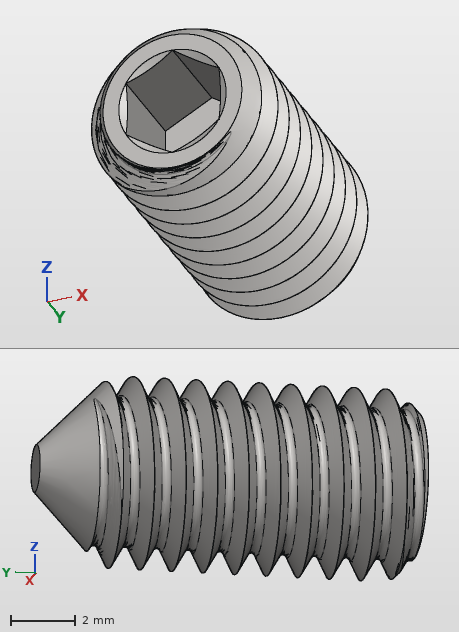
import cadquery as cq
import math

length = 12.0
thread_radius = 3.0

pitch = length / 12
crest_width = 0.01
root_fillet = 0.17
flank_angle = math.radians(30)
full_v_depth = (pitch - crest_width) / 2 / math.tan(flank_angle)
root_radius = thread_radius - full_v_depth + root_fillet / math.sin(flank_angle) - root_fillet
first_groove = 0.84
curve_steps = 12

point_radius = 0.75
socket_end_radius = 2.3
envelope_clearance = 0.12

socket_width = 3.08
socket_depth = 3.5
socket_corner_radius = socket_width / 2 / math.cos(math.radians(30))
mouth_angle = math.radians(30)
mouth_depth = socket_corner_radius * math.tan(mouth_angle)


def make_envelope():
    """Solid of revolution standing on Z: chamfered socket end below, cone point above."""
    radius = thread_radius + envelope_clearance
    return (
        cq.Workplane("XZ")
        .polyline([
            (0, 0),
            (socket_end_radius, 0),
            (radius, radius - socket_end_radius),
            (radius, length - (radius - point_radius)),
            (point_radius, length),
            (0, length),
        ])
        .close()
        .revolve(360, (0, 0), (0, 1))
    )


def make_threaded_rod():
    """Right-handed threaded rod: its constant cross section twisted one turn per pitch."""
    arc_centre = root_radius + root_fillet
    arc_sweep = math.pi / 2 - flank_angle
    arc_half_width = root_fillet * math.sin(arc_sweep)
    arc_end_radius = arc_centre - root_fillet * math.cos(arc_sweep)
    crest_start = (pitch - crest_width) / 2

    def section_point(radius, axial_offset):
        angle = 2 * math.pi * axial_offset / pitch
        return (radius * math.cos(angle), radius * math.sin(angle))

    def root_point(t):
        arc_angle = arc_sweep * (2 * t - 1)
        radius = arc_centre - root_fillet * math.cos(arc_angle)
        return section_point(radius, root_fillet * math.sin(arc_angle))

    def flank_point(t, side):
        radius = arc_end_radius + t * (thread_radius - arc_end_radius)
        return section_point(radius, side * (arc_half_width + t * (crest_start - arc_half_width)))

    steps = [i / curve_steps for i in range(curve_steps + 1)]
    section = (
        cq.Workplane("XY")
        .spline([root_point(t) for t in steps])
        .spline([flank_point(t, 1) for t in steps[1:]], includeCurrent=True)
        .threePointArc((-thread_radius, 0), flank_point(1, -1))
        .spline([flank_point(t, -1) for t in reversed(steps[:-1])], includeCurrent=True)
        .close()
    )
    groove_angle = -360 * first_groove / pitch
    return section.twistExtrude(length, 360 * length / pitch).rotate((0, 0, 0), (0, 0, 1), groove_angle)


def make_socket():
    """Hexagon with corners along the local Y axis, plus its conical mouth."""
    hexagon = (
        cq.Workplane("XY")
        .polygon(6, 2 * socket_corner_radius)
        .extrude(socket_depth)
        .rotate((0, 0, 0), (0, 0, 1), 30)
    )
    mouth = cq.Workplane(cq.Solid.makeCone(socket_corner_radius, 0, mouth_depth))
    return hexagon.union(mouth)


screw = make_threaded_rod().intersect(make_envelope()).cut(make_socket())

result = screw.rotate((0, 0, 0), (1, 0, 0), -90)